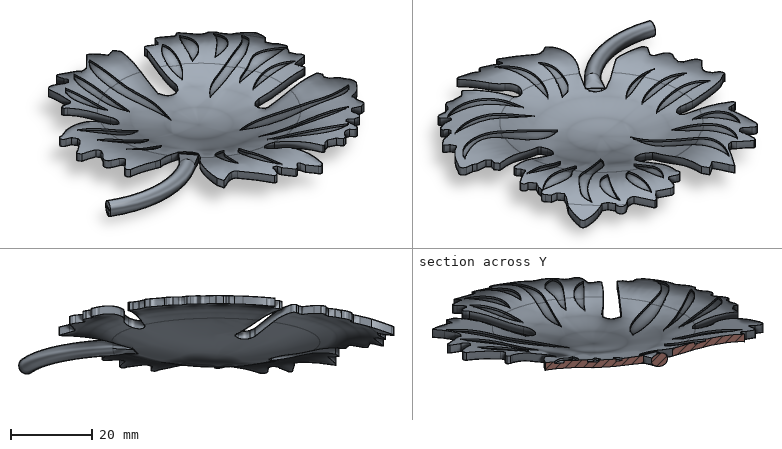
import cadquery as cq
import math

thickness = 2.0
crest_height = 7.4
ring_radius = 25.0
rim_end_radius = 41.5
outer_radius = 51.9
vein_depth = 0.5
vein_clearance = 1.0

stem_radius = 2.0
stem_bend_radius = 28.9
stem_bend_center = (-21.0, -30.7)
stem_height = 3.7
stem_tip_angle = 48.7
stem_root_angle = 13.0
root_length = 5.2
root_width = 5.0
root_thickness = 2.0
root_shift = -0.5
root_height = 3.4
seat_depth = 0.3

slit_height = 0.4
slit_depth = 0.5
slits = [(0.0, 2.0), (-1.3, 0.9)]

outline_start = (9.6, 15.1)
notch_start = (2.8, -19.8)
notch_arc = ((5.6, -17.8), (8.0, -18.9))

top_lobe = [
    ((13.2, 21.4), (16.0, 28.0)),
    ((16.0, 28.8), (15.5, 29.2)),
    (14.2, 29.2),
    (13.0, 29.6),
    (13.3, 33.0),
    (13.3, 34.9),
    ((12.5, 35.6), (11.3, 35.0)),
    (9.2, 34.9),
    (8.4, 36.4),
    (7.2, 37.5),
    ((7.1, 38.6), (6.0, 39.1)),
    (4.5, 39.1),
    (3.4, 38.2),
    (1.5, 38.2),
    (0.7, 39.5),
    (-0.3, 42.1),
    ((-1.9, 44.0), (-4.0, 45.8)),
    ((-4.6, 46.0), (-5.3, 45.8)),
    ((-6.9, 43.8), (-7.8, 41.9)),
    (-8.2, 40.9),
    (-8.3, 40.1),
    (-9.7, 39.4),
    (-11.6, 39.4),
    ((-12.9, 40.0), (-14.2, 38.8)),
    (-14.2, 37.5),
    ((-14.6, 36.7), (-15.5, 35.8)),
    (-20.8, 35.8),
    (-21.1, 35.1),
    (-20.5, 33.5),
    (-20.4, 32.4),
    (-23.6, 30.3),
    ((-24.2, 29.3), (-23.7, 28.2)),
    (-22.3, 26.5),
    ((-22.2, 26.0), (-22.5, 25.4)),
    (-24.0, 24.3),
    ((-24.5, 23.2), (-24.0, 22.4)),
    (-23.3, 22.1),
    ((-18.0, 17.4), (-12.4, 13.9)),
    ((-10.8, 11.0), (-12.8, 8.5)),
    (-14.6, 8.3),
]

left_lobe = [
    (-29.0, 18.9),
    (-31.1, 18.9),
    (-31.1, 15.9),
    (-35.3, 15.8),
    (-36.7, 15.5),
    (-35.2, 11.8),
    (-33.8, 8.6),
    ((-33.4, 7.0), (-33.8, 5.4)),
    (-35.0, 5.0),
    (-38.9, 2.6),
    (-39.1, 2.0),
    (-38.8, 1.5),
    (-36.3, 0.3),
    ((-34.6, -1.3), (-35.2, -2.2)),
    (-37.2, -3.3),
    ((-38.2, -4.7), (-37.8, -5.8)),
    (-30.6, -10.0),
    ((-29.8, -11.0), (-30.2, -12.0)),
    (-30.8, -13.1),
    (-30.8, -14.1),
    (-30.0, -14.4),
    (-29.3, -13.9),
    (-19.3, -10.2),
    ((-17.0, -10.7), (-17.2, -13.4)),
    (-18.4, -14.1),
    (-19.9, -15.0),
]

bottom_left_lobe = [
    ((-23.2, -19.4), (-25.0, -24.5)),
    (-25.0, -27.2),
    (-25.3, -28.0),
    ((-24.5, -28.9), (-23.4, -28.6)),
    (-22.3, -27.7),
    (-20.7, -27.7),
    ((-19.9, -28.3), (-19.4, -29.3)),
    (-18.4, -33.0),
    ((-18.2, -33.9), (-17.6, -34.1)),
    (-16.8, -34.1),
    (-14.2, -31.4),
    (-12.9, -31.3),
    (-11.6, -32.9),
    (-11.0, -34.3),
    ((-9.7, -35.3), (-8.6, -34.9)),
    (-7.0, -33.4),
    ((-6.1, -33.0), (-5.2, -33.9)),
    (-4.2, -36.7),
    ((-3.3, -37.4), (-2.5, -37.2)),
    (1.7, -31.2),
    (2.4, -29.8),
    (2.4, -23.0),
    notch_start,
    notch_arc,
]

bottom_right_lobe = [
    (10.2, -23.0),
    ((13.4, -28.9), (18.9, -32.8)),
    (20.8, -32.9),
    (20.8, -30.0),
    (21.1, -29.0),
    ((21.5, -28.3), (22.2, -27.9)),
    (31.0, -25.2),
    ((31.3, -24.5), (30.9, -23.7)),
    (29.4, -22.4),
    ((29.7, -21.7), (30.2, -21.4)),
    (31.3, -21.4),
    (34.5, -20.0),
    (34.6, -19.1),
    (34.0, -18.0),
    ((34.1, -17.4), (34.6, -17.2)),
    (35.8, -17.1),
    (38.6, -15.5),
    ((39.2, -14.6), (38.6, -13.7)),
    ((34.8, -12.3), (30.6, -11.5)),
    ((28.6, -11.6), (26.8, -12.4)),
    ((25.2, -12.9), (23.5, -12.7)),
    ((22.2, -10.3), (23.7, -8.2)),
]

right_lobe = [
    (36.2, -6.9),
    (36.4, -6.4),
    (36.1, -5.6),
    (36.1, -3.9),
    (37.6, -1.8),
    (39.1, -0.9),
    (39.1, 0.5),
    ((38.1, 2.4), (38.5, 4.1)),
    (39.6, 5.1),
    ((39.8, 5.9), (39.2, 6.8)),
    (36.8, 7.1),
    ((36.1, 7.8), (36.4, 8.5)),
    (37.5, 9.7),
    (37.9, 10.9),
    ((37.9, 12.0), (37.2, 12.6)),
    (35.9, 12.6),
    ((35.1, 13.3), (35.2, 14.8)),
    (36.2, 17.0),
    (36.1, 19.0),
    (35.6, 19.5),
    (34.0, 19.5),
    (32.3, 20.2),
    (32.2, 22.5),
    ((31.4, 25.5), (30.2, 28.0)),
    ((29.2, 29.2), (27.9, 29.2)),
    (26.6, 28.3),
    (25.5, 28.0),
    (23.7, 26.2),
    (22.3, 26.1),
    (21.4, 27.3),
    (19.9, 27.4),
    (13.5, 11.9),
    (12.9, 11.3),
    (11.2, 11.4),
    ((9.8, 12.4), (9.3, 13.7)),
]

veins = [
    ((-5.8, 40.0), [(-4.5, 37.5), (-3.7, 35.0), (-3.4, 30.0), (-3.6, 25.0), (-4.2, 18.2)],
     (-2.5, 13.0), [(-1.6, 18.5), (-0.9, 24.0), (-0.5, 30.0), (-1.6, 34.4), (-2.9, 38.0)]),
    ((-12.4, 37.9), [(-9.8, 34.0), (-8.2, 30.0)],
     (-7.0, 26.4), [(-6.0, 30.0), (-6.4, 33.0), (-9.0, 36.6)]),
    ((-19.3, 33.0), [(-17.5, 29.8), (-14.5, 26.2)],
     (-11.6, 23.1), [(-11.5, 25.8), (-12.5, 28.8), (-15.0, 31.5)]),
    ((-21.0, 26.3), [(-19.5, 22.5), (-16.0, 18.6)],
     (-11.5, 16.2), [(-12.5, 18.9), (-16.5, 23.6), (-19.0, 25.5)]),
    ((7.1, 37.5), [(4.0, 34.4), (1.7, 30.2), (2.0, 25.5), (1.8, 21.7)],
     (2.3, 20.1), [(3.2, 22.3), (5.0, 26.8), (6.5, 31.0), (7.2, 36.0)]),
    ((12.4, 31.0), [(9.8, 29.2), (7.0, 25.3), (6.2, 22.0)],
     (6.6, 18.3), [(8.2, 22.2), (10.0, 25.8), (11.5, 29.0)]),
    ((29.1, 25.6), [(28.6, 21.5), (26.7, 16.7), (20.5, 11.7), (13.6, 6.5)],
     (10.9, 0.3), [(15.0, 2.2), (19.0, 5.0), (24.0, 10.0), (28.5, 16.0), (30.1, 20.0)]),
    ((33.8, 14.4), [(31.0, 10.5), (27.0, 5.2), (22.5, 0.8)],
     (17.5, -3.3), [(21.0, -1.7), (25.0, 0.6), (29.5, 5.0), (32.7, 10.3)]),
    ((37.3, 6.5), [(34.5, 3.2), (30.0, -0.8), (25.0, -3.5)],
     (20.7, -5.4), [(25.5, -5.4), (32.0, -2.7), (35.0, 0.2), (36.8, 3.5)]),
    ((-34.5, 12.0), [(-32.8, 8.5), (-29.0, 4.5), (-24.5, 2.5), (-20.0, 1.8), (-15.0, 1.3)],
     (-7.2, -0.8), [(-11.0, 2.4), (-14.5, 4.4), (-22.0, 5.9), (-28.0, 8.1)]),
    ((-34.9, 3.3), [(-33.0, 0.0), (-30.0, -2.4), (-26.0, -4.0), (-21.0, -4.6)],
     (-17.1, -3.5), [(-20.0, -2.4), (-25.0, -0.9), (-30.0, 1.0)]),
    ((-33.9, -4.4), [(-32.2, -7.2), (-29.0, -9.2), (-26.5, -9.5), (-23.5, -8.8)],
     (-21.4, -7.3), [(-25.0, -6.9), (-30.0, -5.7)]),
    ((-22.5, -23.5), [(-17.2, -18.0)],
     (-11.5, -11.4), [(-11.7, -14.8), (-13.3, -18.2), (-17.0, -21.8)]),
    ((-16.0, -26.2), [(-11.8, -21.6)],
     (-7.1, -15.0), [(-7.3, -18.2), (-9.2, -22.0), (-12.5, -25.0)]),
    ((-7.8, -27.3), [(-5.6, -24.2), (-4.0, -19.5)],
     (-2.8, -16.8), [(-2.6, -19.5), (-3.4, -22.6), (-5.2, -25.2)]),
    ((20.7, -24.0), [(15.0, -18.5)],
     (12.6, -13.8), [(12.0, -17.9), (14.5, -21.5), (17.0, -23.4)]),
    ((30.8, -20.0), [(25.0, -18.1), (20.0, -15.2)],
     (15.8, -11.9), [(17.0, -15.0), (20.0, -18.3), (24.5, -20.4), (28.0, -20.6)]),
]

crest_radius = (ring_radius + rim_end_radius) / 2
slope = 2 * math.atan((crest_height - thickness) / crest_radius)
dish_bend = ring_radius / math.sin(slope)
rim_bend = (crest_radius - ring_radius) / math.sin(slope)
dish_center_height = thickness + dish_bend
rim_center_height = crest_height - rim_bend


def surface_points(depth):
    """Profile points (radius, height) of the surface lying `depth` under the upper face."""
    dish = dish_bend + depth
    rim = rim_bend - depth

    def on_dish(angle):
        return (dish * math.sin(angle), dish_center_height - dish * math.cos(angle))

    def on_rim(angle):
        return (crest_radius + rim * math.sin(angle), rim_center_height + rim * math.cos(angle))

    rim_end = on_rim(slope)
    cone_drop = (outer_radius - rim_end[0]) * math.tan(slope)
    return {
        "center": on_dish(0),
        "dish": on_dish(slope / 2),
        "ring": on_dish(slope),
        "crest": on_rim(0),
        "rim_end": rim_end,
        "edge": (outer_radius, rim_end[1] - cone_drop),
    }


def leaf_layer(upper_depth, lower_depth):
    """Round shell between two depths under the upper face of the leaf."""
    upper = surface_points(upper_depth)
    lower = surface_points(lower_depth)
    return (
        cq.Workplane("YZ")
        .moveTo(*lower["center"])
        .threePointArc(lower["dish"], lower["ring"])
        .threePointArc(lower["crest"], lower["rim_end"])
        .lineTo(*lower["edge"])
        .lineTo(*upper["edge"])
        .lineTo(*upper["rim_end"])
        .threePointArc(upper["crest"], upper["ring"])
        .threePointArc(upper["dish"], upper["center"])
        .close()
        .revolve(360, (0, 0, 0), (0, 1, 0))
    )


prism_bottom = -10.0
prism_height = 30.0


def prism_sketch():
    return cq.Workplane("XY").workplane(offset=prism_bottom)


def leaf_prism():
    sketch = prism_sketch().moveTo(*outline_start)
    for step in top_lobe + left_lobe + bottom_left_lobe + bottom_right_lobe + right_lobe:
        if isinstance(step[0], tuple):
            sketch = sketch.threePointArc(*step)
        else:
            sketch = sketch.lineTo(*step)
    return sketch.close().extrude(prism_height)


def vein_prism(outer_tip, side, inner_tip, other_side):
    return (
        prism_sketch()
        .moveTo(*outer_tip)
        .spline(side + [inner_tip], includeCurrent=True)
        .spline(other_side + [outer_tip], includeCurrent=True)
        .close()
        .extrude(prism_height)
    )


def stem_point(angle_degrees):
    angle = math.radians(angle_degrees)
    return (
        stem_bend_center[0] + stem_bend_radius * math.cos(angle),
        stem_bend_center[1] + stem_bend_radius * math.sin(angle),
        stem_height,
    )


def stem_plane(angle_degrees):
    """Plane across the stem: its x axis points away from the bend centre, its y axis up."""
    angle = math.radians(angle_degrees)
    return cq.Plane(
        origin=stem_point(angle_degrees),
        xDir=(math.cos(angle), math.sin(angle), 0),
        normal=(math.sin(angle), -math.cos(angle), 0),
    )


def round_stem():
    middle_angle = (stem_root_angle - stem_tip_angle) / 2
    path = cq.Workplane(
        cq.Edge.makeThreePointArc(
            cq.Vector(*stem_point(stem_root_angle)),
            cq.Vector(*stem_point(middle_angle)),
            cq.Vector(*stem_point(-stem_tip_angle)),
        )
    )
    return cq.Workplane(stem_plane(stem_root_angle)).circle(stem_radius).sweep(path)


def stem_slit(height, length):
    return (
        cq.Workplane(stem_plane(-stem_tip_angle))
        .center(0, height)
        .rect(length, slit_height)
        .extrude(-slit_depth)
    )


def stem_root():
    """Taper from the round stem to the flat root held in the leaf notch."""
    return (
        cq.Workplane(stem_plane(stem_root_angle))
        .circle(stem_radius)
        .workplane(offset=-root_length)
        .center(root_shift, root_height - stem_height)
        .rect(root_width, root_thickness)
        .loft(combine=True)
    )


def root_seat():
    """Thinned floor that fills the rounded end of the notch behind the flat root."""
    return (
        prism_sketch()
        .moveTo(*notch_start)
        .threePointArc(*notch_arc)
        .close()
        .extrude(prism_height)
        .intersect(leaf_layer(seat_depth, thickness))
    )


leaf = leaf_layer(0, thickness).intersect(leaf_prism())

vein_layer = leaf_layer(-vein_clearance, vein_depth)
for vein in veins:
    leaf = leaf.cut(vein_prism(*vein).intersect(vein_layer))

stem = stem_root().union(round_stem())
for slit in slits:
    stem = stem.cut(stem_slit(*slit))

result = leaf.union(root_seat()).union(stem)